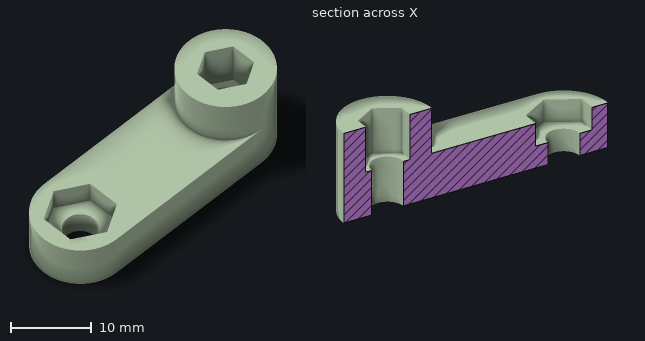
import cadquery as cq
import math

length = 38.1
width = length / 3
arm_thickness = width / 2
boss_height = width
hole_diameter = 4.57
boss_hex_flats = 6.32
boss_hex_depth = boss_height - arm_thickness
arm_hex_flats = 8.1
arm_hex_depth = arm_thickness / 2

boss_y = (length - width) / 2
plain_end_y = -boss_y


def cylinder(y, diameter, height):
    """Vertical cylinder standing on the base plane."""
    return cq.Workplane("XY").center(0, y).circle(diameter / 2).extrude(height)


def hex_pocket(y, top, across_flats, depth):
    """Hexagonal cutter with corners along X, reaching down from the given top."""
    across_corners = across_flats / math.cos(math.pi / 6)
    return (
        cq.Workplane("XY", origin=(0, y, top))
        .polygon(6, across_corners)
        .extrude(-depth)
    )


arm = cq.Workplane("XY").rect(width, boss_y - plain_end_y).extrude(arm_thickness)
plain_end = cylinder(plain_end_y, width, arm_thickness)
boss = cylinder(boss_y, width, boss_height)
result = arm.union(plain_end).union(boss)

result = result.cut(hex_pocket(boss_y, boss_height, boss_hex_flats, boss_hex_depth))
result = result.cut(hex_pocket(plain_end_y, arm_thickness, arm_hex_flats, arm_hex_depth))

for pivot_y in (boss_y, plain_end_y):
    result = result.cut(cylinder(pivot_y, hole_diameter, boss_height))